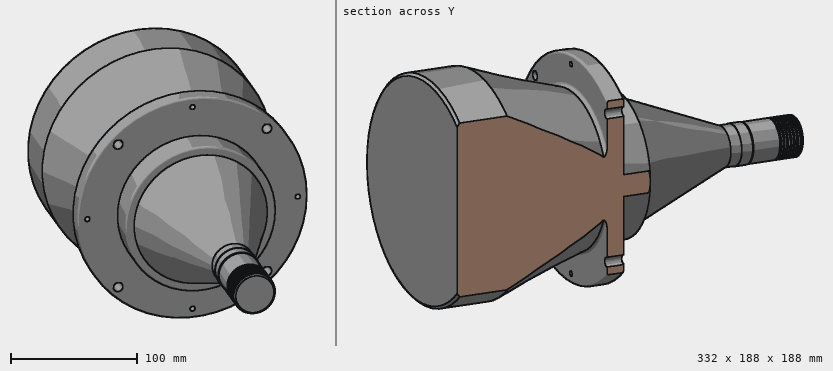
import cadquery as cq
import math

length = 332.0
drum_end = 44.5
taper_front = 45.5
waist_end = 130.5
flange_front = 133.5
flange_back = 148.8
collar_end = 172.7
cone_end = 266.0
ring_front = 276.5
ring_back = 286.3
relief_front = 311.0
relief_back = 312.2

drum_radius = 94.0
taper_radius = 93.5
waist_radius = 66.0
flange_radius = drum_radius
collar_radius = 61.5
cone_large_radius = 54.5
cone_small_radius = 17.3
tube_radius = 17.0
ring_radius = 17.3
relief_radius = 14.0

drum_chamfer = 2.3
flange_fillet = 2.0
collar_fillet = 2.0
neck_bevel = 1.0
tail_chamfer = 1.3
waist_sag = 1.15

bolt_circle_radius = 86.0
bolt_hole_diameter = 7.5
bolt_hole_angle = 45
pin_hole_diameter = 4.0
pin_hole_angle = 0
hole_count = 4

groove_count = 6
groove_pitch = 3.0
groove_width = 1.0
groove_depth = 1.0
groove_land = groove_pitch - groove_width
first_groove = relief_back + groove_land


def make_body():
    """Revolve the half outline about the X axis."""
    waist_fillet = flange_front - waist_end
    cos_45 = math.sqrt(0.5)
    waist_mid = ((taper_front + waist_end) / 2, (taper_radius + waist_radius) / 2 - waist_sag)
    fillet_mid = (
        waist_end + waist_fillet * cos_45,
        waist_radius + waist_fillet * (1 - cos_45),
    )
    flange_bulge = flange_fillet * (1 - cos_45)
    collar_bulge = collar_fillet * (1 - cos_45)
    outline = (
        cq.Workplane("XY")
        .lineTo(0, drum_radius - drum_chamfer)
        .lineTo(drum_chamfer, drum_radius)
        .lineTo(drum_end, drum_radius)
        .lineTo(taper_front, taper_radius)
        .threePointArc(waist_mid, (waist_end, waist_radius))
        .threePointArc(fillet_mid, (flange_front, waist_radius + waist_fillet))
        .lineTo(flange_front, flange_radius - flange_fillet)
        .threePointArc(
            (flange_front + flange_bulge, flange_radius - flange_bulge),
            (flange_front + flange_fillet, flange_radius),
        )
        .lineTo(flange_back - flange_fillet, flange_radius)
        .threePointArc(
            (flange_back - flange_bulge, flange_radius - flange_bulge),
            (flange_back, flange_radius - flange_fillet),
        )
        .lineTo(flange_back, collar_radius)
        .lineTo(collar_end - collar_fillet, collar_radius)
        .threePointArc(
            (collar_end - collar_bulge, collar_radius - collar_bulge),
            (collar_end, collar_radius - collar_fillet),
        )
        .lineTo(collar_end, cone_large_radius)
        .lineTo(cone_end, cone_small_radius)
        .lineTo(cone_end + neck_bevel, tube_radius)
        .lineTo(ring_front, tube_radius)
        .lineTo(ring_front, ring_radius)
        .lineTo(ring_back, ring_radius)
        .lineTo(ring_back + neck_bevel, tube_radius)
        .lineTo(relief_front, tube_radius)
        .lineTo(relief_front, relief_radius)
        .lineTo(relief_back, relief_radius)
        .lineTo(relief_back, tube_radius)
        .lineTo(length - tail_chamfer, tube_radius)
        .lineTo(length, tube_radius - tail_chamfer)
        .lineTo(length, 0)
        .close()
    )
    return outline.revolve(360, (0, 0, 0), (1, 0, 0))


def flange_holes(diameter, start_angle):
    """Evenly spaced through holes on the bolt circle of the flange."""
    return (
        cq.Workplane("YZ", origin=(flange_front, 0, 0))
        .polarArray(bolt_circle_radius, start_angle, 360, hole_count)
        .circle(diameter / 2)
        .extrude(flange_back - flange_front)
    )


def tail_groove(start):
    """A square ring groove cut into the tail."""
    return (
        cq.Workplane("YZ", origin=(start, 0, 0))
        .circle(ring_radius)
        .circle(tube_radius - groove_depth)
        .extrude(groove_width)
    )


result = make_body()
result = result.cut(flange_holes(bolt_hole_diameter, bolt_hole_angle))
result = result.cut(flange_holes(pin_hole_diameter, pin_hole_angle))
for index in range(groove_count):
    result = result.cut(tail_groove(first_groove + index * groove_pitch))